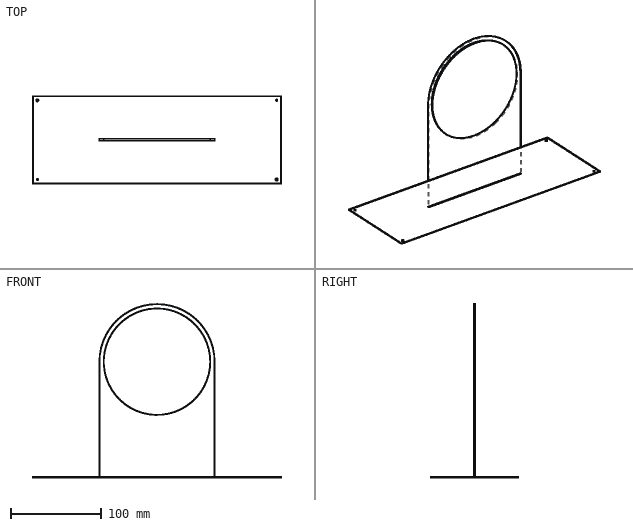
import cadquery as cq

base_length = 274.5
base_width = 97.0
base_thickness = 0.9

total_height = 192.2
upright_width = 127.6
upright_thickness = 2.0
opening_diameter = 117.5

hole_inset_x = 5.0
hole_inset_y = 4.7
large_hole_diameter = 2.2
small_hole_diameter = 1.3

crown_radius = upright_width / 2
opening_height = total_height - crown_radius
hole_x = base_length / 2 - hole_inset_x
hole_y = base_width / 2 - hole_inset_y


def make_base():
    plate = cq.Workplane("XY").box(
        base_length, base_width, base_thickness, centered=(True, True, False)
    )
    large_holes = [(-hole_x, hole_y), (hole_x, -hole_y)]
    small_holes = [(-hole_x, -hole_y), (hole_x, hole_y)]
    for points, diameter in (
        (large_holes, large_hole_diameter),
        (small_holes, small_hole_diameter),
    ):
        cutters = (
            cq.Workplane("XY").pushPoints(points).circle(diameter / 2).extrude(base_thickness)
        )
        plate = plate.cut(cutters)
    return plate


def make_upright():
    outline = (
        cq.Workplane("XZ")
        .moveTo(-crown_radius, 0)
        .lineTo(crown_radius, 0)
        .lineTo(crown_radius, opening_height)
        .threePointArc((0, total_height), (-crown_radius, opening_height))
        .close()
        .extrude(upright_thickness / 2, both=True)
    )
    opening = (
        cq.Workplane("XZ")
        .center(0, opening_height)
        .circle(opening_diameter / 2)
        .extrude(upright_thickness / 2, both=True)
    )
    return outline.cut(opening)


result = make_base().union(make_upright())